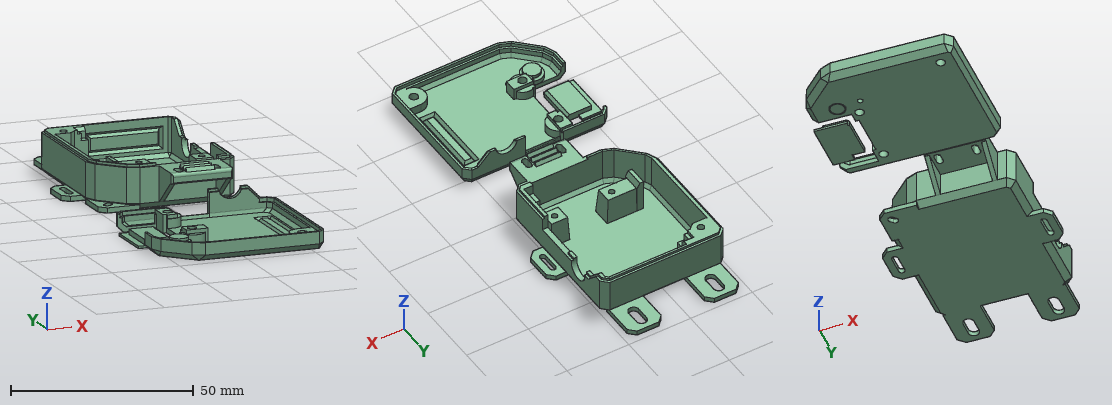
import cadquery as cq
import math

CASE_LONG = 47.0
CASE_SHORT = 40.0
CORNER_CHAMFER = 2.0
BIG_CORNER = 11.5
BIG_CORNER_FACET = 3.45
FLOOR = 1.5
WALL = 1.4
LIP_INSET = 0.72
LIP_HEIGHT = 0.7
FACET_TURN = math.radians(22.5)
OUTER_BEVEL = 1.8
FLOOR_SLOPE_RISE = 1.1
SMALL = 0.01
MARGIN = 1.0
FAR = 60.0

HOUSING_HEIGHT = 12.0
SIDE_WALL = 1.8
FLOOR_SLOPE_SIDE = 0.95
FLOOR_SLOPE_FRONT = 1.1
FLOOR_SLOPE_BACK = 1.5
TAB_THICKNESS = 1.5
TAB_CHAMFER = 2.0
BACK_TAB_WIDTH = 11.0
BACK_TAB_REACH = 11.0
BACK_TAB_CENTRES = (7.5, 32.5)
BACK_SLOT_WIDTH = 3.2
BACK_SLOT_LENGTH = 7.2
BACK_SLOT_CENTRE = 5.6
SIDE_TAB_WIDTH = 12.0
SIDE_TAB_REACH = 5.0
SIDE_TAB_CENTRE = 21.25
SIDE_SLOT_WIDTH = 1.8
SIDE_SLOT_LENGTH = 7.0
SIDE_SLOT_CENTRE = 1.9
CORD_SLOT_CENTRE = 3.45
CORD_SLOT_WIDTH = 2.0
CORD_SLOT_LENGTH = 3.0

BOARD_HEIGHT = 9.7
POST_PILOT = 1.75
CORNER_PILOT = 2.05
PILOT_DEPTH = 6.0
POST_FRONT = 11.4
POST_BACK = 16.35
POST_FLARE = 0.5
POST_FOOT_FRONT = 10.65
POST_FOOT_BACK = 16.65
LEFT_POST = (10.15, 19.3)
RIGHT_POST = (32.4, 37.6)
POST_HOLES = (16.6, 35.1)
FIN = (8.0, 9.2)
FIN_RISE = 1.7

CORNER_HOLE = (5.25, 41.85)
CORNER_BLOCK_FRONT = 39.4
CORNER_BLOCK_STEP = (6.5, 8.2)
CORNER_COLUMN_FRONT = 41.0
CORNER_COLUMN_RIGHT = 12.3
COLUMN_SEAT_LEFT = 10.15
COLUMN_POCKET_LEFT = 9.1
COLUMN_POCKET_BACK = 43.3
COLUMN_POCKET_DEPTH = 1.0
LEDGE_LEFT = 35.2
LEDGE_BACK = 6.5
LEDGE_STOP = 3.0

LATCH = (17.2, 35.3)
LATCH_REACH = 9.55
LATCH_THICKNESS = 3.0
LATCH_TOP_ROUND = 1.0
LATCH_SIDE_CHAMFER = 0.5
LATCH_UNDER_CHAMFER = 0.4
GUSSET = 1.4
GRIP_CENTRE = 25.95
LATCH_SLOT_OFFSET = 5.5
LATCH_SLOT_WIDTH = 1.9
LATCH_SLOT_LENGTH = 3.8
LATCH_SLOT_CENTRE = -6.2
TOOTH_LENGTH = 8.3
TOOTH_HEIGHT = 1.1
TOOTH_WIDTH = 1.5
TOOTH_FIRST = -4.25
TOOTH_PITCH = 2.05
TOOTH_COUNT = 3
FRONT_LIP_END = 16.5

RING_LENGTH = 22.8
RING_DEPTH = 1.0
RING_HALF = 0.75
LID_RING_WIDTH = 5.1
LID_RING_CENTRE = (41.35, 22.35)
HOUSING_RING_WIDTH = 6.5
HOUSING_RING_CENTRE = (24.6, 7.0)

LID_HEIGHT = 5.3
LID_STEP = 4.2
LID_X = -3.1
LID_Y = -57.95
NARROW_BEVEL = 1.0
FACET_BEVEL = (OUTER_BEVEL - BIG_CORNER_FACET / 2 * math.tan(FACET_TURN)) / math.cos(FACET_TURN)
LID_SLOPE = 1.05
LID_SLOPE_TONGUE = 0.35
TONGUE_RISE = 3.9
TONGUE_START = 27.6
TONGUE_TOP_END = 39.1
PORT_CENTRE = 33.75
PORT_RADIUS = 3.45
PORT_RISE = 4.4
SOCKET = (15.4, TONGUE_START)
SOCKET_FLOOR = 1.1
WINDOW = (16.5, 37.2)
WINDOW_DEPTH = 11.5
WINDOW_NOTCH = (19.5, 32.4)
WINDOW_NOTCH_DEPTH = 12.5
BOSS_RADIUS = 3.7
LID_SCREW_HOLE = 2.6
LID_CORNER_BOSS = (42.0, 5.2)
LID_BOSSES = ((13.85, 16.45), (13.85, 34.95), LID_CORNER_BOSS)
LOWER_PAD = (WINDOW_DEPTH, 14.5, 17.85, 18.35)
UPPER_PAD = (WINDOW_DEPTH, 31.6, 15.4, CASE_SHORT - WALL)
VENT_HOLE = 1.5
VENT_PLACE = (15.7, 12.1)

BUTTON_PLACE = (8.65, 13.0)
BUTTON_STEM = 4.09
BUTTON_BORE = 4.69
BUTTON_HEAD = 5.29
COLLAR_DIAMETER = 6.9
COLLAR_TOP = 2.9
BUTTON_NECK_TOP = 3.3
BUTTON_TOP = 4.2

COVER_PLATE = 0.7
COVER_LEFT = -0.75
COVER_FRONT = 19.4
COVER_BACK = 34.3
COVER_PLATE_RIGHT = 8.95
COVER_BACK_RIGHT = 5.6
COVER_BLOCK = (1.4, 20.4, 9.35, 32.3)
COVER_TOP = 2.2
COVER_CHAMFER = 0.8


def box(x0, y0, z0, x1, y1, z1):
    """Box between two opposite corners."""
    return cq.Workplane("XY").box(x1 - x0, y1 - y0, z1 - z0, centered=False).translate((x0, y0, z0))


def case_points(width, depth):
    """Counter-clockwise case outline, starting where the large corner meets the left side."""
    near = BIG_CORNER - BIG_CORNER_FACET
    step = BIG_CORNER_FACET * math.tan(FACET_TURN)
    c = CORNER_CHAMFER
    return [
        (0, BIG_CORNER),
        (step, near),
        (near, step),
        (BIG_CORNER, 0),
        (width - c, 0),
        (width, c),
        (width, depth - c),
        (width - c, depth),
        (c, depth),
        (0, depth - c),
    ]


def inset_points(points, distances):
    """Move every side of a convex outline inward by its own distance."""
    count = len(points)
    lines = []
    for i, start in enumerate(points):
        end = points[(i + 1) % count]
        length = math.dist(start, end)
        nx = (start[1] - end[1]) / length
        ny = (end[0] - start[0]) / length
        lines.append((nx, ny, nx * start[0] + ny * start[1] + distances[i]))
    moved = []
    for i, (bx, by, b) in enumerate(lines):
        ax, ay, a = lines[i - 1]
        cross = ax * by - ay * bx
        moved.append(((a * by - b * ay) / cross, (ax * b - bx * a) / cross))
    return moved


def prism(points, z0, z1):
    """Upright prism on an outline."""
    return cq.Workplane("XY").workplane(offset=z0).polyline(points).close().extrude(z1 - z0)


def case_prism(width, depth, inset, z0, z1):
    """Prism on the case outline, pulled in by an even inset."""
    points = case_points(width, depth)
    return prism(inset_points(points, [inset] * len(points)), z0, z1)


def beveled_prism(points, setbacks, rise, z0, z1):
    """Prism on a convex outline with a sloped bevel under every side."""
    body = prism(points, z0, z1)
    for i, start in enumerate(points):
        end = points[(i + 1) % len(points)]
        dx = end[0] - start[0]
        dy = end[1] - start[1]
        side = cq.Plane(origin=(start[0], start[1], z0), xDir=(-dy, dx, 0), normal=(dx, dy, 0))
        profile = [(setbacks[i], 0), (0, rise), (-MARGIN, rise), (-MARGIN, 0)]
        wedge = cq.Workplane(side).workplane(offset=-MARGIN).polyline(profile).close()
        body = body.cut(wedge.extrude(math.hypot(dx, dy) + 2 * MARGIN))
    return body


def slot_cutter(x, y, length, width, angle):
    """Vertical through cutter with round ends."""
    return (
        cq.Workplane("XY").slot2D(length, width, angle).extrude(2 * FAR).translate((x, y, -FAR))
    )


def drill(x, y, diameter, z0, z1):
    """Vertical round cutter."""
    return cq.Workplane("XY").circle(diameter / 2).extrude(z1 - z0).translate((x, y, z0))


def pilot(x, y, diameter, top):
    """Tapered screw pilot that ends in a point."""
    place = cq.Vector(x, y, top)
    return cq.Workplane(cq.Solid.makeCone(diameter / 2, 0, PILOT_DEPTH, place, cq.Vector(0, 0, -1)))


def ring_groove(length, width):
    """V-shaped ring cutter that starts at Z = 0 and goes down, leaving an island."""
    slope = math.degrees(math.atan(RING_HALF / RING_DEPTH))
    pocket = cq.Workplane("XY").rect(length, width).extrude(-RING_DEPTH, taper=slope)
    inner = (length - 2 * RING_HALF, width - 2 * RING_HALF)
    island = (
        cq.Workplane("XY").workplane(offset=-RING_DEPTH).rect(*inner).extrude(RING_DEPTH, taper=slope)
    )
    return pocket.cut(island)


def side_profile(points, back, thickness):
    """Prism on an XZ profile that reaches forward from a back plane."""
    return cq.Workplane("XZ", origin=(0, back, 0)).polyline(points).close().extrude(thickness)


def mounting_tabs():
    """Flat slotted tabs at the back and both sides, and the cord plate under the large corner."""
    plate = cq.Workplane("XY")
    for x in BACK_TAB_CENTRES:
        back = CASE_LONG + BACK_TAB_REACH
        half = BACK_TAB_WIDTH / 2
        tab = box(x - half, CASE_LONG - OUTER_BEVEL, 0, x + half, back, TAB_THICKNESS)
        tab = tab.edges("|Z and >Y").chamfer(TAB_CHAMFER)
        slot_y = CASE_LONG + BACK_SLOT_CENTRE
        plate = plate.add(tab.cut(slot_cutter(x, slot_y, BACK_SLOT_LENGTH, BACK_SLOT_WIDTH, 90)))
    half = SIDE_TAB_WIDTH / 2
    sides = box(
        -SIDE_TAB_REACH, SIDE_TAB_CENTRE - half, 0,
        CASE_SHORT + SIDE_TAB_REACH, SIDE_TAB_CENTRE + half, TAB_THICKNESS,
    ).edges("|Z").chamfer(TAB_CHAMFER)
    for x in (-SIDE_SLOT_CENTRE, CASE_SHORT + SIDE_SLOT_CENTRE):
        sides = sides.cut(slot_cutter(x, SIDE_TAB_CENTRE, SIDE_SLOT_LENGTH, SIDE_SLOT_WIDTH, 90))
    cord = box(0, 0, 0, BIG_CORNER, BIG_CORNER, TAB_THICKNESS)
    cord = cord.edges("|Z and <X and <Y").chamfer(TAB_CHAMFER)
    cord = cord.cut(slot_cutter(CORD_SLOT_CENTRE, CORD_SLOT_CENTRE, CORD_SLOT_LENGTH, CORD_SLOT_WIDTH, 45))
    return plate.add(sides).add(cord).combine()


def housing_cavity():
    """Inside space of the housing, sloped along the floor."""
    walls = [WALL, WALL, WALL, WALL, WALL, SIDE_WALL, WALL, WALL, WALL, SIDE_WALL]
    slopes = [FLOOR_SLOPE_FRONT] * 5 + [FLOOR_SLOPE_SIDE] * 2 + [FLOOR_SLOPE_BACK] + [FLOOR_SLOPE_SIDE] * 2
    points = inset_points(case_points(CASE_SHORT, CASE_LONG), walls)
    return beveled_prism(points, slopes, FLOOR_SLOPE_RISE, FLOOR, FAR)


def board_posts():
    """Two flared screw posts and the locating fin beside the left one."""
    posts = cq.Workplane("XY")
    for left, right in (LEFT_POST, RIGHT_POST):
        top = [(left, POST_FRONT), (right, POST_FRONT), (right, POST_BACK), (left, POST_BACK)]
        foot_left = left - POST_FLARE
        foot_right = right + POST_FLARE
        foot = [
            (foot_left, POST_FOOT_FRONT),
            (foot_right, POST_FOOT_FRONT),
            (foot_right, POST_FOOT_BACK),
            (foot_left, POST_FOOT_BACK),
        ]
        post = cq.Workplane("XY").workplane(offset=FLOOR).polyline(foot).close()
        post = post.workplane(offset=BOARD_HEIGHT - FLOOR).polyline(top).close().loft(ruled=True)
        posts = posts.add(post)
    fin_top = BOARD_HEIGHT + FIN_RISE
    fin_profile = [
        (FIN[0], FLOOR),
        (LEFT_POST[0], FLOOR),
        (LEFT_POST[0], BOARD_HEIGHT),
        (FIN[1], fin_top),
        (FIN[0], fin_top),
    ]
    fin = side_profile(fin_profile, POST_FOOT_BACK, POST_FOOT_BACK - POST_FOOT_FRONT)
    return posts.add(fin).combine()


def corner_block():
    """Screw block in the back left corner, with the board seat on its right end."""
    back = CASE_LONG - WALL / 2
    points = [
        (SIDE_WALL / 2, CORNER_BLOCK_FRONT),
        (CORNER_BLOCK_STEP[0], CORNER_BLOCK_FRONT),
        (CORNER_BLOCK_STEP[1], CORNER_COLUMN_FRONT),
        (CORNER_COLUMN_RIGHT, CORNER_COLUMN_FRONT),
        (CORNER_COLUMN_RIGHT, back),
        (SIDE_WALL / 2, back),
    ]
    top = HOUSING_HEIGHT + LIP_HEIGHT
    block = cq.Workplane("XY").workplane(offset=FLOOR).polyline(points).close().extrude(top - FLOOR)
    pocket_floor = top - COLUMN_POCKET_DEPTH
    ramp = [
        (CORNER_COLUMN_FRONT, pocket_floor),
        (COLUMN_POCKET_BACK, pocket_floor),
        (COLUMN_POCKET_BACK + COLUMN_POCKET_DEPTH, top),
        (CORNER_COLUMN_FRONT, top),
    ]
    pocket_length = CORNER_COLUMN_RIGHT - COLUMN_POCKET_LEFT
    pocket = cq.Workplane("YZ", origin=(COLUMN_POCKET_LEFT, 0, 0)).polyline(ramp).close()
    pocket = pocket.extrude(pocket_length)
    seat = box(
        COLUMN_SEAT_LEFT, CORNER_COLUMN_FRONT, BOARD_HEIGHT, CORNER_COLUMN_RIGHT, COLUMN_POCKET_BACK, top
    )
    inside = case_prism(CASE_SHORT, CASE_LONG, LIP_INSET, FLOOR, top)
    return block.intersect(inside).cut(pocket).cut(seat)


def board_ledge():
    """Board ledge and stop in the front right corner."""
    right = CASE_SHORT - SIDE_WALL
    ledge = box(LEDGE_LEFT, WALL, FLOOR, right, LEDGE_BACK, BOARD_HEIGHT)
    stop = box(LEDGE_LEFT, WALL, FLOOR, right, LEDGE_STOP, HOUSING_HEIGHT + LIP_HEIGHT)
    inside = case_prism(CASE_SHORT, CASE_LONG, LIP_INSET, FLOOR, FAR)
    return ledge.union(stop).intersect(inside)


def latch():
    """Finger plate at the front with gussets, two slots and grip teeth."""
    left, right = LATCH
    tip = -LATCH_REACH
    under = HOUSING_HEIGHT - LATCH_THICKNESS
    plate = box(left, tip, under, right, WALL, HOUSING_HEIGHT)
    plate = plate.edges(">Z and <Y").fillet(LATCH_TOP_ROUND)
    plate = plate.edges("<Z and <Y").chamfer(LATCH_UNDER_CHAMFER)
    c = LATCH_SIDE_CHAMFER
    corners = [
        (left, WALL),
        (left, tip + c),
        (left + c, tip),
        (right - c, tip),
        (right, tip + c),
        (right, WALL),
    ]
    plate = plate.intersect(prism(corners, under, HOUSING_HEIGHT))
    gusset_tip = tip + LATCH_TOP_ROUND
    profile = [(WALL, under), (gusset_tip, under), (0, OUTER_BEVEL), (WALL, OUTER_BEVEL)]
    for x in (left, right - GUSSET):
        plate = plate.union(cq.Workplane("YZ", origin=(x, 0, 0)).polyline(profile).close().extrude(GUSSET))
    for x in (GRIP_CENTRE - LATCH_SLOT_OFFSET, GRIP_CENTRE + LATCH_SLOT_OFFSET):
        plate = plate.cut(slot_cutter(x, LATCH_SLOT_CENTRE, LATCH_SLOT_LENGTH, LATCH_SLOT_WIDTH, 90))
    for i in range(TOOTH_COUNT):
        peak = TOOTH_FIRST - i * TOOTH_PITCH
        half = TOOTH_WIDTH / 2
        base = HOUSING_HEIGHT
        shape = [(peak - half, base), (peak + half, base), (peak, base + TOOTH_HEIGHT)]
        root = cq.Workplane("YZ", origin=(GRIP_CENTRE - TOOTH_LENGTH / 2, 0, 0))
        plate = plate.union(root.polyline(shape).close().extrude(TOOTH_LENGTH))
    return plate


def tongue_points(drop):
    """Tongue outline above the lid rim; drop lowers it and moves its slope in."""
    top = LID_HEIGHT + TONGUE_RISE - drop
    slope_end = TONGUE_TOP_END + TONGUE_RISE
    return [
        (TONGUE_START, LID_STEP),
        (slope_end - drop, LID_STEP),
        (slope_end - drop, LID_HEIGHT),
        (slope_end - drop - (top - LID_HEIGHT), top),
        (TONGUE_START, top),
    ]


def housing_port():
    """Cutter for the opening in the right wall that the lid tongue and the port need."""
    low = HOUSING_HEIGHT - TONGUE_RISE
    start = SOCKET[0]

    def cutter(front, floor, slope_start, x0, x1):
        above = FAR - floor
        points = [(front, floor), (slope_start, floor), (slope_start + above, FAR), (front, FAR)]
        return cq.Workplane("YZ", origin=(x0, 0, 0)).polyline(points).close().extrude(x1 - x0)

    right = CASE_SHORT + MARGIN
    lip_line = CASE_SHORT - LIP_INSET
    inner = CASE_SHORT - SIDE_WALL - SMALL
    outer_cut = cutter(start, low, TONGUE_TOP_END, lip_line, right)
    socket_cut = box(inner, start, low, right, SOCKET[1], FAR)
    inner_cut = cutter(start, low + LIP_HEIGHT, TONGUE_TOP_END, inner, lip_line)
    port_z = HOUSING_HEIGHT - PORT_RISE
    port = cq.Workplane("YZ", origin=(inner, PORT_CENTRE, port_z)).circle(PORT_RADIUS)
    port = port.extrude(right - inner)
    return outer_cut.union(socket_cut).union(inner_cut).union(port)


def make_housing():
    points = case_points(CASE_SHORT, CASE_LONG)
    shell = beveled_prism(points, [OUTER_BEVEL] * len(points), OUTER_BEVEL, 0, HOUSING_HEIGHT)
    lip = case_prism(CASE_SHORT, CASE_LONG, LIP_INSET, HOUSING_HEIGHT, HOUSING_HEIGHT + LIP_HEIGHT)
    lip = lip.cut(box(FRONT_LIP_END, 0, 0, CASE_SHORT, WALL, FAR))
    shell = shell.union(lip).union(mounting_tabs()).union(latch())
    shell = shell.cut(housing_cavity())
    groove = ring_groove(RING_LENGTH, HOUSING_RING_WIDTH).rotate((0, 0, 0), (1, 0, 0), 90)
    shell = shell.cut(groove.translate((HOUSING_RING_CENTRE[0], CASE_LONG - WALL, HOUSING_RING_CENTRE[1])))
    shell = shell.cut(housing_port())
    shell = shell.union(board_posts()).union(corner_block()).union(board_ledge())
    post_y = (POST_FRONT + POST_BACK) / 2
    for x in POST_HOLES:
        shell = shell.cut(pilot(x, post_y, POST_PILOT, BOARD_HEIGHT))
    return shell.cut(pilot(*CORNER_HOLE, CORNER_PILOT, HOUSING_HEIGHT + LIP_HEIGHT))


def lid_shell():
    """Open tray with a beveled underside and a groove for the housing lip."""
    points = case_points(CASE_LONG, CASE_SHORT)
    bevels = [FACET_BEVEL, OUTER_BEVEL, FACET_BEVEL, OUTER_BEVEL] + [NARROW_BEVEL] * 5 + [OUTER_BEVEL]
    shell = beveled_prism(points, bevels, OUTER_BEVEL, 0, LID_HEIGHT)
    slopes = [LID_SLOPE] * 7 + [LID_SLOPE_TONGUE] + [LID_SLOPE] * 2
    inner = inset_points(points, [WALL] * len(points))
    cavity = beveled_prism(inner, slopes, FLOOR_SLOPE_RISE, FLOOR, FAR)
    return shell.cut(cavity).cut(case_prism(CASE_LONG, CASE_SHORT, LIP_INSET, LID_STEP, FAR))


def lid_tongue():
    """Stepped wall that rises above the rim and closes the opening in the housing wall."""
    outer = side_profile(tongue_points(0), CASE_SHORT, LIP_INSET)
    inner = side_profile(tongue_points(LIP_HEIGHT), CASE_SHORT - LIP_INSET, WALL - LIP_INSET)
    return outer.union(inner)


def lid_bosses():
    """Round screw bosses, the square pads on two of them and the button collar."""
    inside = case_prism(CASE_LONG, CASE_SHORT, LIP_INSET, FLOOR, FAR)
    bosses = cq.Workplane("XY")
    for x, y in LID_BOSSES:
        bosses = bosses.add(drill(x, y, 2 * BOSS_RADIUS, FLOOR, LID_STEP))
    x, y = LID_CORNER_BOSS
    bosses = bosses.add(box(x, 0, FLOOR, CASE_LONG, y + BOSS_RADIUS, LID_STEP))
    for x0, y0, x1, y1 in (LOWER_PAD, UPPER_PAD):
        bosses = bosses.add(box(x0, y0, FLOOR, x1, y1, LID_HEIGHT))
    bosses = bosses.add(drill(*BUTTON_PLACE, COLLAR_DIAMETER, FLOOR, COLLAR_TOP))
    return bosses.combine().intersect(inside)


def make_lid():
    lid = lid_shell().union(lid_bosses())
    socket_front = CASE_SHORT - WALL - SMALL
    lid = lid.cut(box(SOCKET[0], socket_front, SOCKET_FLOOR, SOCKET[1], CASE_SHORT + MARGIN, FAR))
    lid = lid.union(lid_tongue())
    port = cq.Workplane("XZ", origin=(PORT_CENTRE, CASE_SHORT + MARGIN, LID_HEIGHT + PORT_RISE))
    lid = lid.cut(port.circle(PORT_RADIUS).extrude(WALL + 2 * MARGIN))
    lid = lid.cut(box(-MARGIN, WINDOW[0], -MARGIN, WINDOW_DEPTH, WINDOW[1], FAR))
    lid = lid.cut(box(-MARGIN, WINDOW_NOTCH[0], -MARGIN, WINDOW_NOTCH_DEPTH, WINDOW_NOTCH[1], FAR))
    for x, y in LID_BOSSES:
        lid = lid.cut(drill(x, y, LID_SCREW_HOLE, -MARGIN, FAR))
    lid = lid.cut(drill(*VENT_PLACE, VENT_HOLE, -MARGIN, FAR))
    lid = lid.cut(drill(*BUTTON_PLACE, BUTTON_BORE, -MARGIN, COLLAR_TOP))
    groove = ring_groove(LID_RING_WIDTH, RING_LENGTH)
    return lid.cut(groove.translate((*LID_RING_CENTRE, FLOOR)))


def make_button():
    stem = drill(*BUTTON_PLACE, BUTTON_STEM, 0, BUTTON_NECK_TOP)
    return stem.union(drill(*BUTTON_PLACE, BUTTON_HEAD, BUTTON_NECK_TOP, BUTTON_TOP))


def make_cover():
    block_left, block_front, block_right, block_back = COVER_BLOCK
    plate = box(COVER_LEFT, COVER_FRONT, 0, COVER_PLATE_RIGHT, block_back, COVER_PLATE)
    back = box(COVER_LEFT, block_back, 0, COVER_BACK_RIGHT, COVER_BACK, COVER_PLATE)
    block = box(block_left, block_front, 0, block_right, block_back, COVER_TOP)
    block = block.edges(">X and >Z").chamfer(COVER_CHAMFER)
    return plate.union(back).union(block)


lid_place = (LID_X, LID_Y, 0)
housing = make_housing()
lid = make_lid().translate(lid_place)
button = make_button().translate(lid_place)
cover = make_cover().translate(lid_place)

result = cq.Compound.makeCompound([housing.val(), lid.val(), button.val(), cover.val()])